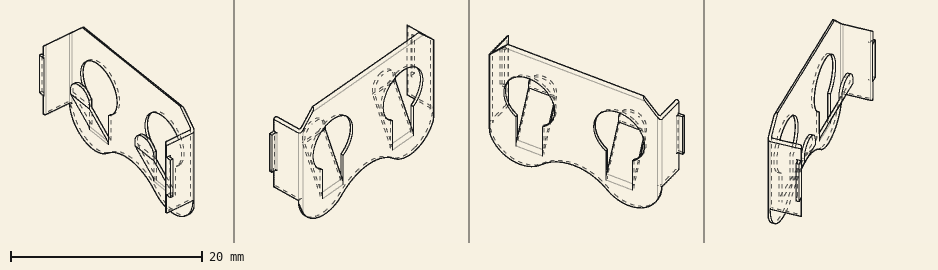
import cadquery as cq
import math

overall_width = 22.35
overall_depth = 3.8
height = 15.13
sheet = 0.34
wing_sheet = 0.3

half_width = 10.55
corner_chamfer = 2.21
lobe_radius = 3.9
notch_top = 2.6

bend_inner_radius = 0.18
back_edge_radius = 0.34
wing_edge_radius = 0.18
tab_bottom = 6.35
tab_length = 5.0
tab_bend_radius = 0.18

hole_radius = 3.1
hole_offset = 5.5
hole_height = 8.8
tongue_width = 3.25
tongue_depth = 2.84
tongue_top = 10.3
tip_flat = 0.22
tongue_root = 2.28
tongue_bend_height = 8.27
root_bend_radius = 1.45
tongue_angle = math.radians(23.6)


def make_outline():
    """Front outline with two lobes tangent to a raised central arc."""
    lobe_x = half_width - lobe_radius
    rise = lobe_radius - notch_top
    notch_radius = (lobe_x**2 + rise**2 - lobe_radius**2) / (2 * (lobe_radius - rise))
    share = lobe_radius / (lobe_radius + notch_radius)
    joint_x = lobe_x * (1 - share)
    joint_z = lobe_radius - share * (rise + notch_radius)
    side_top = height - corner_chamfer
    top_x = half_width - corner_chamfer
    return (
        cq.Workplane("XZ")
        .moveTo(-top_x, height)
        .lineTo(top_x, height)
        .lineTo(half_width, side_top)
        .lineTo(half_width, lobe_radius)
        .threePointArc((lobe_x, 0), (joint_x, joint_z))
        .threePointArc((0, notch_top), (-joint_x, joint_z))
        .threePointArc((-lobe_x, 0), (-half_width, lobe_radius))
        .lineTo(-half_width, side_top)
        .close()
    )


def make_envelope():
    """Block that rounds the straight side and top edges of the back face."""
    block = cq.Workplane("XZ").center(0, height / 2).rect(2 * half_width, height).extrude(overall_depth)
    rounded = block.faces(">Y").edges("|Z or >Z")
    return rounded.fillet(back_edge_radius)


def make_wing():
    """Right-hand wing, before its top is trimmed by the plate outline."""
    inner_x = half_width - wing_sheet
    return (
        cq.Workplane("XY", origin=(0, 0, lobe_radius))
        .moveTo(half_width, 0)
        .lineTo(half_width, -overall_depth)
        .lineTo(inner_x + wing_edge_radius, -overall_depth)
        .radiusArc((inner_x, wing_edge_radius - overall_depth), wing_edge_radius)
        .lineTo(inner_x, -sheet - bend_inner_radius)
        .radiusArc((inner_x - bend_inner_radius, -sheet), -bend_inner_radius)
        .lineTo(inner_x - bend_inner_radius, 0)
        .close()
        .extrude(height - lobe_radius)
    )


def make_tab():
    """Right-hand outward tab with a rounded inner bend."""
    tab_back = sheet - overall_depth
    return (
        cq.Workplane("XY", origin=(0, 0, tab_bottom))
        .moveTo(half_width - wing_sheet / 2, -overall_depth)
        .lineTo(overall_width / 2, -overall_depth)
        .lineTo(overall_width / 2, tab_back)
        .lineTo(half_width + tab_bend_radius, tab_back)
        .radiusArc((half_width, tab_back + tab_bend_radius), tab_bend_radius)
        .lineTo(half_width - wing_sheet / 2, tab_back + tab_bend_radius)
        .close()
        .extrude(tab_length)
    )


def make_tongue(x):
    """Tongue bent out of the plate, ending in a round tip parallel to it."""
    sine = math.sin(tongue_angle)
    cosine = math.cos(tongue_angle)
    half_sine = math.sin(tongue_angle / 2)
    half_cosine = math.cos(tongue_angle / 2)
    back_radius = root_bend_radius + sheet
    bend_y = -sheet - root_bend_radius
    mitre = sheet * math.tan(tongue_angle / 2)

    def bend_point(radius, c, s):
        return (bend_y + radius * c, tongue_root + radius * s)

    profile = (
        cq.Workplane("YZ", origin=(x - tongue_width / 2, 0, 0))
        .moveTo(-sheet, tongue_root)
        .threePointArc(
            bend_point(root_bend_radius, half_cosine, half_sine),
            bend_point(root_bend_radius, cosine, sine),
        )
        .lineTo(-tongue_depth, tongue_bend_height)
        .lineTo(-tongue_depth, tongue_top)
        .lineTo(sheet - tongue_depth, tongue_top)
        .lineTo(sheet - tongue_depth, tongue_bend_height + mitre)
        .lineTo(*bend_point(back_radius, cosine, sine))
        .threePointArc(bend_point(back_radius, half_cosine, half_sine), (0, tongue_root))
        .close()
        .extrude(tongue_width)
    )
    length = tongue_top - tongue_root
    silhouette = cq.Workplane("XZ").center(x, tongue_root + length / 2)
    silhouette = silhouette.rect(tongue_width, length).extrude(tongue_depth)
    tip_radius = (tongue_width - tip_flat) / 2
    silhouette = silhouette.faces(">Z").edges("|Y").fillet(tip_radius)
    return profile.intersect(silhouette)


plate = make_outline().extrude(sheet)
trim = make_outline().extrude(overall_depth)
wing = make_wing()
wings = wing.union(wing.mirror("YZ")).intersect(trim)
result = plate.union(wings).intersect(make_envelope())

for x in (-hole_offset, hole_offset):
    hole = cq.Workplane("XZ").center(x, hole_height).circle(hole_radius).extrude(sheet)
    slot = cq.Workplane("XZ").center(x, (tongue_root + hole_height) / 2)
    slot = slot.rect(tongue_width, hole_height - tongue_root).extrude(sheet)
    result = result.cut(hole).cut(slot).union(make_tongue(x))

tab = make_tab()
result = result.union(tab).union(tab.mirror("YZ"))